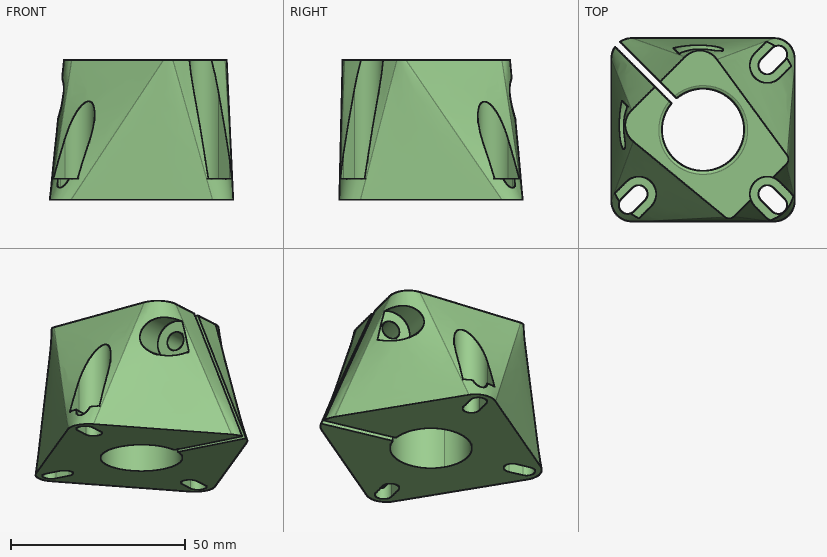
import cadquery as cq
import math

base_side = 52.5
height = 40.0
base_radius = 6.0

slit_edge_along = -18.4
far_edge_along = 23.8
slit_edge_across_plus = 18.1
slit_edge_across_minus = -17.1
far_edge_across_plus = 11.6
far_edge_across_minus = -13.0
slit_edge_radius = 6.0
far_edge_radius = 2.0

bore_diameter = 23.4
bore_mouth_radius = 1.0

slit_width = 2.0
screw_diameter = 5.5
screw_along = -18.0
screw_height = 29.0
screw_head_diameter = 11.95
screw_seat_across = 10.5

slot_width = 5.0
slot_recess_width = 10.0
slot_inner = 18.4
slot_outer = 21.5
slot_seat_height = 6.0

slit_direction_angle = -45.0
cut_length = 2 * base_side


def diagonal_point(along, across):
    """Turn a position relative to the slit diagonal into X, Y."""
    return ((along + across) / math.sqrt(2), (across - along) / math.sqrt(2))


def rounded_outline(corners, radii, z):
    """Return the corner arcs, and the straight edge that follows each arc."""
    arcs = []
    for i, (corner, radius) in enumerate(zip(corners, radii)):
        point = cq.Vector(*corner, z)
        to_previous = (cq.Vector(*corners[i - 1], z) - point).normalized()
        to_next = (cq.Vector(*corners[(i + 1) % len(corners)], z) - point).normalized()
        half_angle = to_previous.getAngle(to_next) / 2
        tangent_length = radius / math.tan(half_angle)
        bisector = (to_previous + to_next).normalized()
        start = point + to_previous * tangent_length
        middle = point + bisector * (radius / math.sin(half_angle) - radius)
        end = point + to_next * tangent_length
        arcs.append(cq.Edge.makeThreePointArc(start, middle, end))
    straights = [
        cq.Edge.makeLine(arc.endPoint(), arcs[(i + 1) % len(arcs)].startPoint())
        for i, arc in enumerate(arcs)
    ]
    return arcs, straights


def make_body():
    """Each base side rises to a top corner arc, each base corner arc to a straight top edge."""
    half = base_side / 2
    base_corners = [(-half, -half), (half, -half), (half, half), (-half, half)]
    top_corners = [
        diagonal_point(far_edge_along, far_edge_across_minus),
        diagonal_point(far_edge_along, far_edge_across_plus),
        diagonal_point(slit_edge_along, slit_edge_across_plus),
        diagonal_point(slit_edge_along, slit_edge_across_minus),
    ]
    top_radii = [far_edge_radius, far_edge_radius, slit_edge_radius, slit_edge_radius]
    base_arcs, base_straights = rounded_outline(base_corners, [base_radius] * 4, 0)
    top_arcs, top_straights = rounded_outline(top_corners, top_radii, height)

    pairs = list(zip(base_straights, top_arcs))
    pairs += list(zip(base_arcs[1:] + base_arcs[:1], top_straights))
    faces = [cq.Face.makeRuledSurface(lower, upper) for lower, upper in pairs]
    for edges in (base_arcs + base_straights, top_arcs + top_straights):
        faces.append(cq.Face.makeFromWires(cq.Wire.assembleEdges(edges)))
    return cq.Workplane(obj=cq.Solid.makeSolid(cq.Shell.makeShell(faces)).fix())


def make_bore():
    """Bore with a rounded mouth at the top, as one turned cutter."""
    radius = bore_diameter / 2
    return (
        cq.Workplane("XZ")
        .lineTo(radius, 0)
        .lineTo(radius, height - bore_mouth_radius)
        .radiusArc((radius + bore_mouth_radius, height), bore_mouth_radius)
        .lineTo(0, height)
        .close()
        .revolve(360, (0, 0, 0), (0, 1, 0))
    )


def make_slit():
    return (
        cq.Workplane("XY")
        .box(base_side, slit_width, height, centered=(False, True, False))
        .translate((-base_side, 0, 0))
        .rotate((0, 0, 0), (0, 0, 1), slit_direction_angle)
    )


def make_screw_cut():
    """Cross hole through the slit, with a round head recess on both sides."""
    across = cq.Vector(1, 1, 0).normalized()
    axis_point = cq.Vector(*diagonal_point(screw_along, 0), screw_height)
    hole = cq.Solid.makeCylinder(
        screw_diameter / 2, cut_length, axis_point - across * (cut_length / 2), across
    )
    cut = cq.Workplane(obj=hole)
    for side in (across, across * -1):
        seat = axis_point + side * screw_seat_across
        cut = cut.add(cq.Solid.makeCylinder(screw_head_diameter / 2, cut_length, seat, side))
    return cut.combine()


def make_slot(x_side, y_side):
    """Slot along a corner diagonal, with a wider recess above its seat."""
    middle = (slot_inner + slot_outer) / 2
    centre_distance = (slot_outer - slot_inner) * math.sqrt(2)
    angle = math.degrees(math.atan2(y_side, x_side))

    def slot_prism(width, bottom):
        return (
            cq.Workplane("XY", origin=(x_side * middle, y_side * middle, bottom))
            .slot2D(centre_distance + width, width, angle)
            .extrude(height - bottom)
        )

    return slot_prism(slot_width, 0).union(slot_prism(slot_recess_width, slot_seat_height))


result = make_body().cut(make_bore()).cut(make_slit()).cut(make_screw_cut())
for x_side, y_side in ((1, 1), (1, -1), (-1, -1)):
    result = result.cut(make_slot(x_side, y_side))